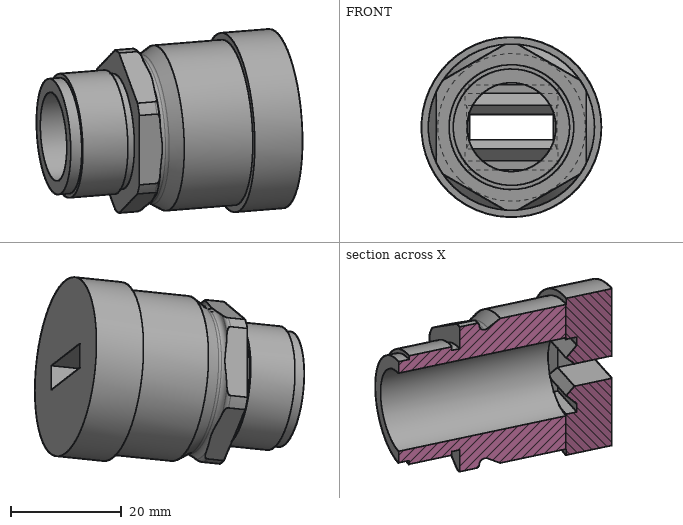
import cadquery as cq

total_length = 42.0
tip_length = 2.05
thread_end = 10.55
hex_start = 12.0
hex_corner_end = 15.3
cone_start = 17.6
cone_end = 20.05
cap_start = 32.95

bore_radius = 8.02
relief_radius = 10.5
thread_radius = 11.25
cone_start_radius = 13.52
housing_radius = 15.0
cap_radius = 16.25
hex_flat_radius = 13.52

shoulder_round = 0.67
hollow_round = 1.0
shoulder_foot_radius = housing_radius - shoulder_round
shoulder_foot = hex_corner_end + shoulder_round
neck_radius = shoulder_foot_radius - hollow_round
neck = shoulder_foot + hollow_round

recess_half_height = 7.7
recess_half_width = 8.4
recess_depth = 2.1
ridge_foot_half_height = 6.1
ridge_crest_half_height = 3.9
slot_half_height = 2.25
slot_half_width = 7.5
slot_mouth_half_width = 8.2
funnel_depth = 1.65


def revolve_about_y(profile):
    """Turn a closed (radius, y) profile around the Y axis."""
    return profile.close().revolve(360, (0, 0, 0), (0, 1, 0))


def y_plane(y):
    """Work plane at height y, with local x along X, local y along Z and normal along -Y."""
    return cq.Workplane("XZ", origin=(0, y, 0))


def make_spigot():
    profile = (
        cq.Workplane("XY")
        .lineTo(relief_radius, 0)
        .lineTo(relief_radius, tip_length)
        .lineTo(thread_radius, tip_length)
        .lineTo(thread_radius, thread_end)
        .lineTo(relief_radius, thread_end)
        .lineTo(relief_radius, hex_start)
        .lineTo(0, hex_start)
    )
    return revolve_about_y(profile)


def make_hexagon():
    """Hexagon with flats facing +X and -X, turned down at its corners and rear shoulder."""
    flat_to_corner = 2 / 3**0.5
    prism = (
        y_plane(hex_start)
        .polygon(6, 2 * hex_flat_radius * flat_to_corner)
        .extrude(hex_start - neck)
        .rotate((0, 0, 0), (0, 1, 0), 30)
    )
    profile = (
        cq.Workplane("XY")
        .moveTo(0, hex_start)
        .lineTo(housing_radius, hex_start)
        .lineTo(housing_radius, hex_corner_end)
        .tangentArcPoint((shoulder_foot_radius, shoulder_foot), relative=False)
        .tangentArcPoint((neck_radius, neck), relative=False)
        .lineTo(0, neck)
    )
    return prism.intersect(revolve_about_y(profile))


def make_barrel():
    profile = (
        cq.Workplane("XY")
        .moveTo(0, hex_start)
        .lineTo(neck_radius, hex_start)
        .lineTo(neck_radius, neck)
        .tangentArcPoint((cone_start_radius, cone_start), relative=False)
        .lineTo(housing_radius, cone_end)
        .lineTo(housing_radius, cap_start)
        .lineTo(0, cap_start)
    )
    return revolve_about_y(profile)


def make_housing():
    bore = y_plane(0).circle(bore_radius).extrude(-cap_start)
    return make_spigot().union(make_hexagon()).union(make_barrel()).cut(bore)


def make_groove(side):
    """Groove between a slot lip and the recess edge, on the +Z (1) or -Z (-1) side."""
    floor = cap_start + recess_depth
    return (
        cq.Workplane("YZ", origin=(-recess_half_width, 0, 0))
        .moveTo(cap_start, side * ridge_crest_half_height)
        .lineTo(floor, side * ridge_foot_half_height)
        .lineTo(floor, side * recess_half_height)
        .lineTo(cap_start, side * recess_half_height)
        .close()
        .extrude(2 * recess_half_width)
    )


def make_cap():
    length = total_length - cap_start
    cap = y_plane(cap_start).circle(cap_radius).extrude(-length)
    for side in (1, -1):
        cap = cap.cut(make_groove(side))
    slot = y_plane(cap_start).rect(2 * slot_half_width, 2 * slot_half_height).extrude(-length)
    funnel = (
        y_plane(cap_start)
        .rect(2 * slot_mouth_half_width, 2 * ridge_crest_half_height)
        .workplane(offset=-funnel_depth)
        .rect(2 * slot_half_width, 2 * slot_half_height)
        .loft(ruled=True)
    )
    return cap.cut(slot).cut(funnel)


housing = make_housing()
cap = make_cap()
result = cq.Compound.makeCompound([housing.val(), cap.val()])